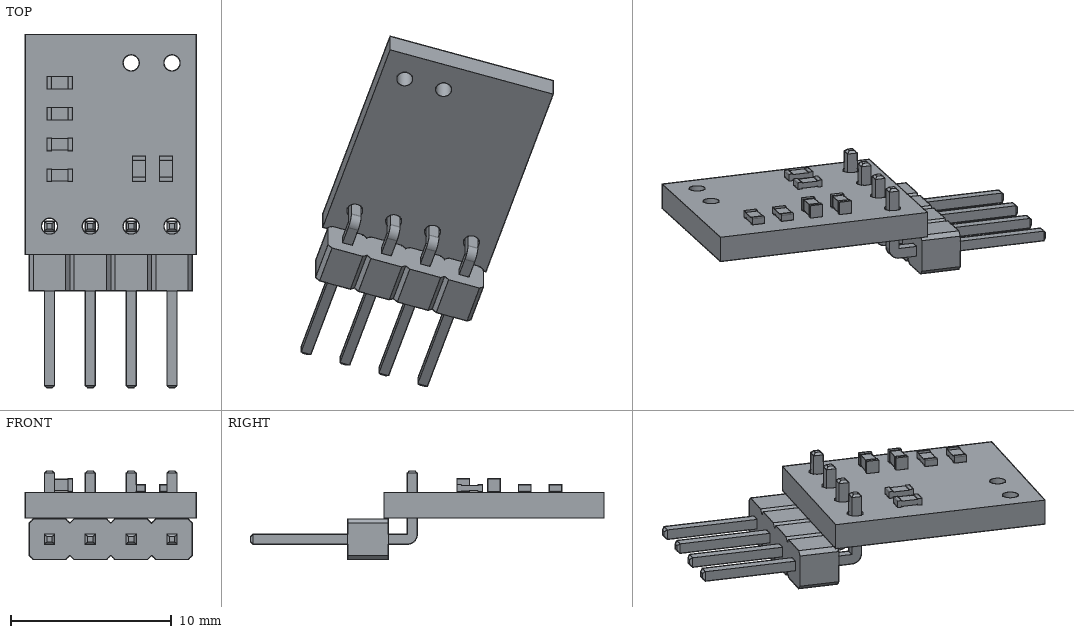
import cadquery as cq


BOARD_WIDTH = 10.65
BOARD_LENGTH = 13.7
BOARD_THICKNESS = 1.6
HOLE_DIAMETER = 1.0

PIN_COUNT = 4
HOUSING_WIDTH = 10.15
PITCH = HOUSING_WIDTH / PIN_COUNT
HOUSING_SIZE = PITCH
CELL_CHAMFER = 0.26
HOUSING_GAP = 0.05
HOUSING_OVERLAP = 0.29
PIN_SIZE = 0.64
PIN_TIP_CHAMFER = 0.15
PIN_RISE = 1.35
PIN_REACH = 8.29

HOLE_ROW_SPACING = 4 * PITCH
PIN_ROW_Y = (BOARD_LENGTH - HOLE_ROW_SPACING) / 2
SPARE_ROW_Y = PIN_ROW_Y + HOLE_ROW_SPACING
PIN_XS = [(i - (PIN_COUNT - 1) / 2) * PITCH for i in range(PIN_COUNT)]
SPARE_HOLE_XS = PIN_XS[2:]
PIN_AXIS_Z = -HOUSING_GAP - HOUSING_SIZE / 2

CHIP_LENGTH = 1.6
CHIP_WIDTH = 0.8
RESISTOR_HEIGHT = 0.45
CAPACITOR_HEIGHT = 0.81
TERMINAL_LENGTH = 0.29
TERMINAL_STEP = 0.05
TERMINAL_FILLET = 0.033
CHIP_GAP = 0.05

COLUMN_X = -3.17
COLUMN_START_Y = 4.95
COLUMN_SPACING = 1.91
CAPACITOR_YS = [COLUMN_START_Y + i * COLUMN_SPACING for i in (0, 1)]
COLUMN_RESISTOR_YS = [COLUMN_START_Y + i * COLUMN_SPACING for i in (2, 3)]
PAIR_XS = [1.75, 3.43]
PAIR_Y = 5.35


def make_board():
    """Rectangular plate with a row of pin holes and two spare holes."""
    hole_places = [(x, PIN_ROW_Y) for x in PIN_XS] + [(x, SPARE_ROW_Y) for x in SPARE_HOLE_XS]
    plate = cq.Workplane("XY").box(
        BOARD_WIDTH, BOARD_LENGTH, BOARD_THICKNESS, centered=(True, False, False)
    )
    holes = (
        cq.Workplane("XY").pushPoints(hole_places).circle(HOLE_DIAMETER / 2).extrude(BOARD_THICKNESS)
    )
    return plate.cut(holes).solids()


def make_pin(x):
    """Square pin bent from vertical to horizontal, rounded outside the bend, with tapered tips."""
    half = PIN_SIZE / 2
    back, inner = PIN_ROW_Y + half, PIN_ROW_Y - half
    bottom, upper = PIN_AXIS_Z - half, PIN_AXIS_Z + half
    tip_z = BOARD_THICKNESS + PIN_RISE
    profile = [
        (-PIN_REACH, bottom),
        (back, bottom),
        (back, tip_z),
        (inner, tip_z),
        (inner, upper),
        (-PIN_REACH, upper),
    ]
    pin = cq.Workplane("YZ").polyline(profile).close().extrude(half, both=True)
    pin = pin.edges("|X and >Y and <Z").fillet(PIN_SIZE)
    pin = pin.faces(">Z or <Y").chamfer(PIN_TIP_CHAMFER)
    return pin.translate((x, 0, 0))


def make_header():
    """Row of chamfered housing cells joined into one strip, with its bent pins."""
    cell = (
        cq.Workplane("XY")
        .box(PITCH, HOUSING_SIZE, HOUSING_SIZE)
        .edges("|Y")
        .chamfer(CELL_CHAMFER)
        .translate((0, HOUSING_OVERLAP - HOUSING_SIZE / 2, PIN_AXIS_Z))
    )
    header = cq.Workplane("XY")
    for x in PIN_XS:
        header = header.union(cell.translate((x, 0, 0)))
    for x in PIN_XS:
        header = header.union(make_pin(x))
    return header.solids()


def make_chip(height, body_width, rounded_edges):
    """Chip lying along X: a body between two raised terminals, with the given terminal edges rounded."""
    chip = cq.Workplane("XY").box(
        CHIP_LENGTH - 2 * TERMINAL_STEP, body_width, height - 2 * TERMINAL_STEP
    )
    terminal = (
        cq.Workplane("XY")
        .box(TERMINAL_LENGTH, CHIP_WIDTH, height)
        .edges(rounded_edges)
        .fillet(TERMINAL_FILLET)
    )
    terminal_x = (CHIP_LENGTH - TERMINAL_LENGTH) / 2
    for x in (-terminal_x, terminal_x):
        chip = chip.union(terminal.translate((x, 0, 0)))
    return chip.translate((0, 0, BOARD_THICKNESS + CHIP_GAP + height / 2)).solids()


def make_resistor():
    """Flat chip whose terminals are as wide as its body and rounded across their width."""
    return make_chip(RESISTOR_HEIGHT, CHIP_WIDTH, "|Y")


def make_capacitor():
    """Tall chip whose terminals stand proud all round and are rounded along their length."""
    return make_chip(CAPACITOR_HEIGHT, CHIP_WIDTH - 2 * TERMINAL_STEP, "|X")


board = make_board()
header = make_header()

capacitors = []
for y in CAPACITOR_YS:
    capacitors.append(make_capacitor().translate((COLUMN_X, y, 0)))

resistors = []
for y in COLUMN_RESISTOR_YS:
    resistors.append(make_resistor().translate((COLUMN_X, y, 0)))
for x in PAIR_XS:
    turned = make_resistor().rotate((0, 0, 0), (0, 0, 1), 90)
    resistors.append(turned.translate((x, PAIR_Y, 0)))

result = cq.Compound.makeCompound(
    [
        board.val(),
        header.val(),
        *[capacitor.val() for capacitor in capacitors],
        *[resistor.val() for resistor in resistors],
    ]
)